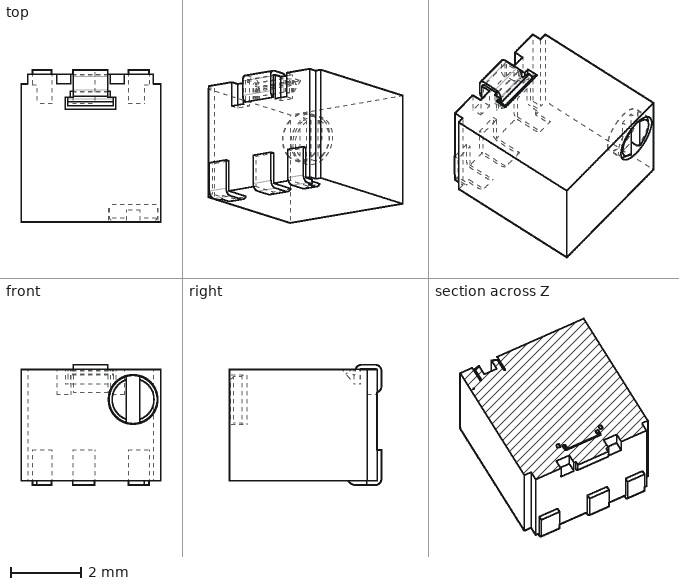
import cadquery as cq
import math


BODY_LEFT = -1.98
BODY_WIDTH = 3.99
BODY_HEIGHT = 3.175
OVERALL_LENGTH = 4.34
METAL = 0.125
BODY_BACK = OVERALL_LENGTH - METAL
STEP_LENGTH = 0.28
STEP_WIDTH = 3.58
SHOULDER = BODY_BACK - STEP_LENGTH

ADJUSTER_X = 1.215
ADJUSTER_DROP = 0.855
ADJUSTER_Z = BODY_HEIGHT - ADJUSTER_DROP
BORE_RADIUS = 0.705
BORE_DEPTH = 0.5
SCREW_RADIUS = 0.687
SCREW_RECESS = 0.025
SCREW_CHAMFER = 0.09
SLOT_WIDTH = 0.39
SLOT_DEPTH = 0.33

NOTCH_SPAN = 1.935
TONGUE_WIDTH = 1.12
NOTCH_DEPTH = 0.7

POCKET_WIDTH = 1.447
POCKET_FRONT = 3.214
POCKET_BACK = 3.55
POCKET_SLOPE = math.radians(50)
WINDOW_WIDTH = 1.14
WINDOW_BACK = 3.726

BEND_RADIUS = 0.19
INNER_BEND_RADIUS = BEND_RADIUS - METAL
PAD_TIP_RADIUS = 0.275

CLIP_GAP = 0.015
CLIP_TOP = BODY_HEIGHT + CLIP_GAP + METAL
CLIP_BOTTOM = 2.51
CLIP_FRONT = 3.586
CLIP_WIDTH = 0.988
FOOT_WIDTH = 1.286
FOOT_FRONT = 3.317
FOOT_CREST = 3.428
FOOT_BEND_RADIUS = 0.04

PAD_FRONT = 3.338
PAD_TOP = 0.885
WING_FRONT = 3.916
LEFT_PAD = (-1.655, -1.105)
LEFT_WING_WIDTH = 0.125
MIDDLE_PAD = (-0.51, 0.12)
RIGHT_PAD = (1.08, 1.67)
RIGHT_WING_WIDTH = 0.14


def block(x_range, y_range, z_range):
    """Box spanning the given ranges."""
    sizes = [high - low for low, high in (x_range, y_range, z_range)]
    corner = (x_range[0], y_range[0], z_range[0])
    return cq.Workplane("XY").box(*sizes, centered=False).translate(corner)


def centred(width):
    """X range of the given width about the terminal centre line."""
    return (-width / 2, width / 2)


def side_prism(points, width):
    """Y-Z polygon extruded to the given width about the terminal centre line."""
    return cq.Workplane("YZ").polyline(points).close().extrude(width / 2, both=True)


def adjuster_cylinder(radius, front, back):
    """Cylinder on the adjuster axis between two Y positions."""
    plane = cq.Workplane("XZ", origin=(ADJUSTER_X, front, ADJUSTER_Z))
    return plane.circle(radius).extrude(front - back)


def make_body():
    main = block((BODY_LEFT, BODY_LEFT + BODY_WIDTH), (0, SHOULDER), (0, BODY_HEIGHT))
    step = block(centred(STEP_WIDTH), (SHOULDER, BODY_BACK), (0, BODY_HEIGHT))
    notches = block(centred(NOTCH_SPAN), (SHOULDER, BODY_BACK), (BODY_HEIGHT - NOTCH_DEPTH, BODY_HEIGHT))
    tongue = block(centred(TONGUE_WIDTH), (SHOULDER, BODY_BACK), (0, BODY_HEIGHT))
    return main.union(step).cut(notches).union(tongue)


def cut_adjuster(body):
    """Bore the body and leave a chamfered, slotted screw head inside."""
    bore = adjuster_cylinder(BORE_RADIUS, 0, BORE_DEPTH)
    screw = adjuster_cylinder(SCREW_RADIUS, SCREW_RECESS, BORE_DEPTH)
    screw = screw.faces("<Y").chamfer(SCREW_CHAMFER)
    slot_x = (ADJUSTER_X - SLOT_WIDTH / 2, ADJUSTER_X + SLOT_WIDTH / 2)
    slot_z = (ADJUSTER_Z - BORE_RADIUS, ADJUSTER_Z + BORE_RADIUS)
    slot = block(slot_x, (0, SCREW_RECESS + SLOT_DEPTH), slot_z)
    return body.cut(bore).union(screw.cut(slot))


def floor_z(y):
    """Height of the sloped pocket floor."""
    return BODY_HEIGHT - (y - POCKET_FRONT) * math.tan(POCKET_SLOPE)


def cut_clip_pocket(body):
    floor_back = (POCKET_BACK, floor_z(POCKET_BACK))
    pocket = side_prism([(POCKET_FRONT, BODY_HEIGHT), floor_back, (POCKET_BACK, BODY_HEIGHT)], POCKET_WIDTH)
    window_y = (POCKET_BACK, WINDOW_BACK)
    window = block(centred(WINDOW_WIDTH), window_y, (floor_z(POCKET_BACK), BODY_HEIGHT))
    return body.cut(pocket).cut(window)


def make_clip():
    """Strip wrapped over the back edge, with its lower run buried in the body."""
    outer = block(centred(CLIP_WIDTH), (CLIP_FRONT, OVERALL_LENGTH), (CLIP_BOTTOM, CLIP_TOP))
    outer = outer.edges("|X").fillet(BEND_RADIUS)
    inner_y = (CLIP_FRONT + METAL, OVERALL_LENGTH - METAL)
    inner = block(centred(CLIP_WIDTH), inner_y, (CLIP_BOTTOM + METAL, CLIP_TOP - METAL))
    return outer.cut(inner.edges("|X").fillet(INNER_BEND_RADIUS))


def make_hook(width):
    """Lower end of the clip leg, bent forward and up along the pocket floor."""
    front = (FOOT_FRONT, floor_z(FOOT_FRONT))
    crest_z = front[1] + (FOOT_CREST - FOOT_FRONT) / math.tan(POCKET_SLOPE)
    valley_z = crest_z - (CLIP_FRONT - FOOT_CREST) * math.tan(POCKET_SLOPE)
    leg_top = CLIP_TOP - BEND_RADIUS
    leg_back = CLIP_FRONT + METAL
    base = floor_z(POCKET_BACK)
    hook = side_prism(
        [
            front,
            (FOOT_CREST, crest_z),
            (CLIP_FRONT, valley_z),
            (CLIP_FRONT, leg_top),
            (leg_back, leg_top),
            (leg_back, base),
            (FOOT_FRONT, base),
        ],
        width,
    )
    valley = cq.selectors.NearestToPointSelector((0, CLIP_FRONT, valley_z))
    return hook.edges("|X").edges(valley).fillet(FOOT_BEND_RADIUS)


def make_foot():
    """Hook that is wide in the pocket and narrows to the clip behind it."""
    pocket_space = block(centred(FOOT_WIDTH), (FOOT_FRONT, POCKET_BACK), (0, BODY_HEIGHT))
    return make_hook(FOOT_WIDTH).intersect(pocket_space).union(make_hook(CLIP_WIDTH))


def make_pad(x_range, left_wing=0, right_wing=0):
    """Terminal wrapped under the back edge; a wing is a side strip that stops short of the tip."""
    pad = block(x_range, (PAD_FRONT, OVERALL_LENGTH), (-METAL, PAD_TOP))
    pad = pad.edges("|X and <Z and >Y").fillet(BEND_RADIUS)
    pad = pad.edges("|X and <Z and <Y").fillet(PAD_TIP_RADIUS)
    tip_y = (PAD_FRONT, WING_FRONT)
    if left_wing:
        pad = pad.cut(block((x_range[0], x_range[0] + left_wing), tip_y, (-METAL, PAD_TOP)))
    if right_wing:
        pad = pad.cut(block((x_range[1] - right_wing, x_range[1]), tip_y, (-METAL, PAD_TOP)))
    return pad


result = cut_clip_pocket(cut_adjuster(make_body())).union(make_clip()).union(make_foot())
result = result.union(make_pad(LEFT_PAD, left_wing=LEFT_WING_WIDTH))
result = result.union(make_pad(MIDDLE_PAD))
result = result.union(make_pad(RIGHT_PAD, right_wing=RIGHT_WING_WIDTH))